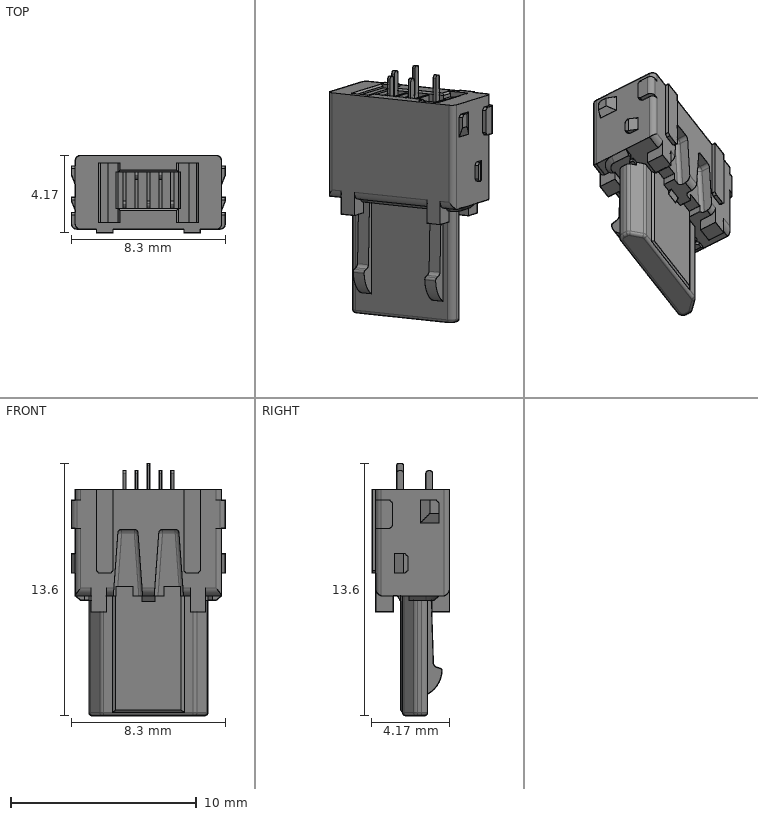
import cadquery as cq
import math


body_width = 7.89
body_depth = 3.98
body_bottom = 6.46
body_top = 12.2
corner_radius = 0.3
bottom_round_height = 0.42
bottom_round_depth = 0.3

foot_inner = 2.26
foot_outer = 3.09
foot_depth = 0.95
foot_bottom = 5.6

rib_inner = 1.9
rib_outer = 2.8
rib_height = 0.19
rib_root = 0.14
rib_bottom = 7.68
rib_chamfer = 0.14

overall_width = 8.3
lug_chamfer = 0.15
corner_lug_depth = 0.91
corner_lug_bottom = 10.09
lug_top = 11.61
corner_lug_radius = 0.3
rear_lug_front = 2.41
rear_lug_rear = 3.41
rear_lug_bottom = 10.39
rear_lug_slope = 0.52
low_lug_front = 1.02
low_lug_rear = 1.73
low_lug_bottom = 7.68
low_lug_top = 8.73
low_lug_slope = 0.49

window_center = 1.1
window_top = 10.04
window_top_half = 0.53
window_bottom_half = 0.79
window_depth = 0.68
window_radius = 0.2
notch_inner = 0.83
notch_outer = 1.74
notch_front = window_depth - window_radius
notch_top = 6.98

pocket_bevel = 0.11
side_pocket_inner = 1.63
side_pocket_outer = 2.58
side_pocket_front = 0.37
side_pocket_rear = 3.58
side_ledge_inner = 2.19
side_ledge_depth = 0.2
side_floor_depth = 0.3
well_front = 1.13
well_rear = 3.07
well_depth = 0.65

pin_depth = 0.38
outer_pin_offset = 1.29
pin_pitch = outer_pin_offset / 2
pin_thickness = 0.15
outer_pin_thickness = 0.18
pin_radius = 0.18
pin_top = 13.22
middle_pin_top = 13.6
middle_pin_radius = 0.12
pin_root_depth = 0.14
bar_top = 12.02
outer_bar_top = 11.61

plug_width = 6.42
plug_front = 1.44
plug_rear = 2.8
plug_root = 7.48
plug_chamfer = 0.68
plug_chamfer_radius = 0.29
plug_rear_radius = 0.34
tip_radius = 0.18
panel_front = 1.35
panel_half_width = 1.77
panel_root_half_width = 1.95
panel_bottom = 0.3

skirt_front = 1.8
skirt_rear = 3.43
skirt_height = 0.25
skirt_inset = 0.3
skirt_radius = 0.71
skirt_recess = 0.25
wedge_half_width = 0.35
wedge_front = 1.17
wedge_height = 0.3

hook_outer = 2.57
hook_width = 0.68
hook_root_rear = 2.96
hook_neck = (3.11, 2.8)
hook_shoulder_start = (3.32, 2.61)
hook_shoulder_end = (3.48, 2.55)
hook_tip = (3.58, 2.41)
hook_end = 1.17
hook_neck_radius = -0.27
hook_tip_radius = 0.14
hook_nose_radius = 1.5


def block(x0, x1, y0, y1, z0, z1):
    """Box given by its limits along each axis."""
    return cq.Workplane("XY").box(x1 - x0, y1 - y0, z1 - z0, centered=False).translate((x0, y0, z0))


def side_profile(points, x0, x1):
    """Prism with a (Y, Z) outline running from x0 to x1."""
    return cq.Workplane("YZ").workplane(offset=x0).polyline(points).close().extrude(x1 - x0)


def both_sides(shape):
    """The shape together with its mirror image across the X = 0 plane."""
    return shape.union(shape.mirror("YZ"))


def make_housing():
    round_top = body_bottom + bottom_round_height
    round_radius = (bottom_round_height**2 + bottom_round_depth**2) / (2 * bottom_round_depth)
    profile = (
        cq.Workplane("YZ")
        .workplane(offset=-body_width / 2)
        .moveTo(0, body_top)
        .lineTo(0, round_top)
        .radiusArc((bottom_round_depth, body_bottom), -round_radius)
        .lineTo(body_depth - bottom_round_depth, body_bottom)
        .radiusArc((body_depth, round_top), -round_radius)
        .lineTo(body_depth, body_top)
        .close()
        .extrude(body_width)
    )
    column = block(-body_width / 2, body_width / 2, 0, body_depth, body_bottom, body_top)
    return profile.intersect(column.edges("|Z").fillet(corner_radius))


def make_feet():
    front = block(foot_inner, foot_outer, 0, foot_depth, foot_bottom, plug_root)
    rear = front.translate((0, body_depth - foot_depth, 0))
    return both_sides(front.union(rear))


def make_ribs():
    rib = block(rib_inner, rib_outer, -rib_height, rib_root, rib_bottom, body_top)
    return both_sides(rib.edges("|Y and <Z").chamfer(rib_chamfer))


def make_corner_lug():
    lug = block(0, overall_width / 2, 0, corner_lug_depth, corner_lug_bottom, lug_top)
    return lug.edges("|X and >Y").chamfer(lug_chamfer).edges("|Z and >X and <Y").fillet(corner_lug_radius)


def make_sloped_lug(front, rear, bottom, top, slope):
    """Lug whose height fades to nothing along its front edge over the length of the slope."""
    inside = body_width / 2
    outside = overall_width / 2
    outline = [
        (0, front),
        (inside, front),
        (outside, front + slope),
        (outside, rear),
        (0, rear),
    ]
    return cq.Workplane("XY").workplane(offset=bottom).polyline(outline).close().extrude(top - bottom)


def make_lugs():
    rear_lug = make_sloped_lug(rear_lug_front, rear_lug_rear, rear_lug_bottom, lug_top, rear_lug_slope)
    rear_lug = rear_lug.edges("|X and >Y and >Z").chamfer(lug_chamfer)
    underside = [
        (body_width / 2, rear_lug_bottom),
        (overall_width / 2, rear_lug_bottom + rear_lug_slope),
        (overall_width / 2, rear_lug_bottom),
    ]
    bevel = cq.Workplane("XZ").polyline(underside).close().extrude(-body_depth)
    low_lug = make_sloped_lug(low_lug_front, low_lug_rear, low_lug_bottom, low_lug_top, low_lug_slope)
    low_lug = low_lug.edges("|X and >Y").chamfer(lug_chamfer)
    return both_sides(make_corner_lug().union(rear_lug.cut(bevel)).union(low_lug))


def make_windows():
    slope = (window_bottom_half - window_top_half) / (window_top - body_bottom)
    low_half = window_bottom_half + slope * (body_bottom - foot_bottom)
    window = (
        cq.Workplane("XZ")
        .polyline(
            [
                (window_center - low_half, foot_bottom),
                (window_center - window_top_half, window_top),
                (window_center + window_top_half, window_top),
                (window_center + low_half, foot_bottom),
            ]
        )
        .close()
        .extrude(-window_depth)
    )
    window = window.edges("|Y and >Z").fillet(window_radius).faces(">Y").edges("not <Z").fillet(window_radius)
    notch = block(notch_inner, notch_outer, notch_front, panel_front, foot_bottom, notch_top)
    return both_sides(window.union(notch))


def make_pocket():
    side_ledge = body_top - side_ledge_depth
    side_floor = body_top - side_floor_depth
    front, rear = side_pocket_front, side_pocket_rear
    ledge = block(side_pocket_inner, side_pocket_outer, front, rear, side_ledge, body_top)
    floor = block(side_pocket_inner, side_ledge_inner, front, rear, side_floor, body_top)
    flare = (
        cq.Workplane("XZ", origin=(0, side_pocket_front, 0))
        .polyline(
            [
                (side_pocket_inner, body_top - pocket_bevel),
                (side_pocket_inner - pocket_bevel, body_top),
                (side_pocket_outer + pocket_bevel, body_top),
                (side_pocket_outer, body_top - pocket_bevel),
            ]
        )
        .close()
        .extrude(side_pocket_front - side_pocket_rear)
    )
    well = block(-side_pocket_inner, side_pocket_inner, well_front, well_rear, body_top - well_depth, body_top)
    well_flare = side_profile(
        [
            (well_front, body_top - pocket_bevel),
            (well_front - pocket_bevel, body_top),
            (well_rear + pocket_bevel, body_top),
            (well_rear, body_top - pocket_bevel),
        ],
        -side_pocket_inner,
        side_pocket_inner,
    )
    well_ends = (
        cq.Workplane("XZ", origin=(0, well_front, 0))
        .polyline(
            [
                (-side_pocket_inner, side_floor - pocket_bevel),
                (-side_pocket_inner - pocket_bevel, side_floor),
                (side_pocket_inner + pocket_bevel, side_floor),
                (side_pocket_inner, side_floor - pocket_bevel),
            ]
        )
        .close()
        .extrude(well_front - well_rear)
    )
    return both_sides(ledge.union(floor).union(flare)).union(well).union(well_flare).union(well_ends)


def make_pin(x, thickness, at_front, top, radius, bar_level):
    """Upright pin with a rounded tip, standing on one end of a bar that crosses the well."""
    pin_front = well_front if at_front else well_rear - pin_depth
    x0 = x - thickness / 2
    x1 = x + thickness / 2
    root = body_top - well_depth - pin_root_depth
    upright = block(x0, x1, pin_front, pin_front + pin_depth, root, top)
    upright = upright.edges("|X and >Z").fillet(radius)
    return upright.union(block(x0, x1, well_front, well_rear, root, bar_level))


def make_pins():
    outer_pin = make_pin(outer_pin_offset, outer_pin_thickness, True, pin_top, pin_radius, outer_bar_top)
    inner_pin = make_pin(pin_pitch, pin_thickness, False, pin_top, pin_radius, bar_top)
    middle_pin = make_pin(0, pin_thickness, True, middle_pin_top, middle_pin_radius, bar_top)
    return both_sides(outer_pin.union(inner_pin)).union(middle_pin)


def make_plug():
    shell = block(-plug_width / 2, plug_width / 2, plug_front, plug_rear, 0, plug_root)
    shell = shell.edges("|Z and <Y").chamfer(plug_chamfer)
    shell = shell.edges("|Z and (not >Y)").fillet(plug_chamfer_radius)
    shell = shell.edges("|Z and >Y").fillet(plug_rear_radius)
    shell = shell.faces("<Z").edges().fillet(tip_radius)

    panel_root = plug_front + tip_radius
    outline = [
        (-panel_half_width, panel_front),
        (-panel_root_half_width, plug_front),
        (-panel_root_half_width, panel_root),
        (panel_root_half_width, panel_root),
        (panel_root_half_width, plug_front),
        (panel_half_width, panel_front),
    ]
    lower_end = [
        (panel_front, panel_bottom),
        (plug_front, tip_radius),
        (panel_root, tip_radius),
        (panel_root, plug_root),
        (panel_front, plug_root),
    ]
    panel = cq.Workplane("XY").polyline(outline).close().extrude(plug_root)
    panel = panel.intersect(side_profile(lower_end, -plug_width / 2, plug_width / 2))
    return shell.union(panel)


def make_skirt():
    half = body_width / 2
    bottom = body_bottom - skirt_height
    lean = math.degrees(math.atan(skirt_inset / skirt_height))
    skirt = (
        cq.Workplane("XY", origin=(0, 0, body_bottom))
        .sketch()
        .rect(body_width, 2 * skirt_rear)
        .vertices()
        .fillet(skirt_radius)
        .finalize()
        .extrude(-skirt_height, taper=lean)
    )
    skirt = skirt.intersect(block(-half, half, skirt_front, skirt_rear, bottom, body_bottom))
    recess = (
        cq.Workplane("XY", origin=(0, 0, bottom))
        .polyline(
            [
                (plug_width / 2, skirt_front),
                (plug_width / 2 + skirt_recess, skirt_front),
                (plug_width / 2, skirt_front + skirt_recess),
            ]
        )
        .close()
        .extrude(skirt_height)
    )
    return skirt.cut(both_sides(recess))


def make_wedge():
    outline = [
        (wedge_front, body_bottom),
        (panel_front, body_bottom),
        (panel_front, body_bottom - wedge_height),
    ]
    return side_profile(outline, -wedge_half_width, wedge_half_width)


def make_hooks():
    inside = plug_rear - plug_rear_radius
    hook = (
        cq.Workplane("YZ")
        .workplane(offset=hook_outer - hook_width)
        .moveTo(inside, plug_root)
        .lineTo(hook_root_rear, plug_root)
        .lineTo(*hook_neck)
        .radiusArc(hook_shoulder_start, hook_neck_radius)
        .lineTo(*hook_shoulder_end)
        .radiusArc(hook_tip, hook_tip_radius)
        .radiusArc((plug_rear, hook_end), hook_nose_radius)
        .lineTo(inside, hook_end)
        .close()
        .extrude(hook_width)
    )
    return both_sides(hook)


housing = make_housing().union(make_feet()).union(make_ribs()).union(make_lugs())
housing = housing.cut(make_windows()).cut(make_pocket())
result = (
    housing.union(make_pins())
    .union(make_plug())
    .union(make_skirt())
    .union(make_wedge())
    .union(make_hooks())
)